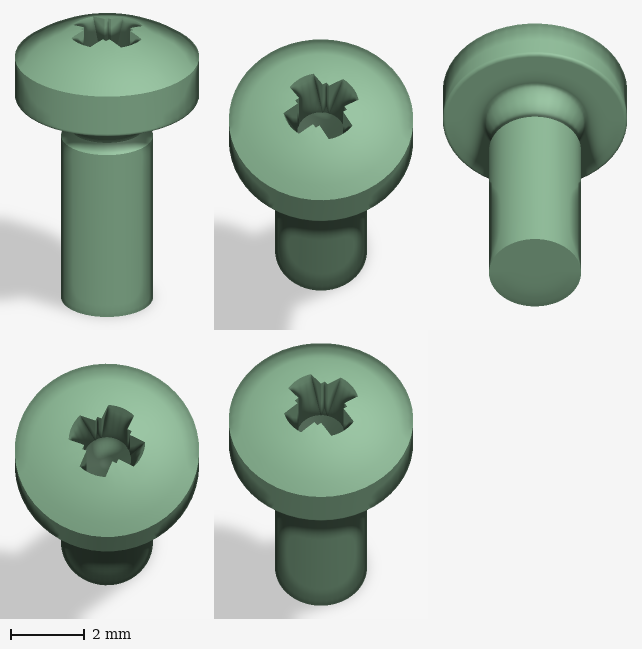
import cadquery as cq
import math

head_radius = 2.4995
dome_radius = 4.0
seat_z = 6.0
apex_z = 8.1
edge_fillet = 0.1

shank_radius = 1.25
shank_top_z = 4.86
waist_radius = 1.0
waist_height = 0.065
neck_top_radius = 1.38

wing_width = 0.765
wing_mouth_radius = 1.04
wing_floor_radius = 0.65
recess_core_width = 1.015
recess_floor_z = 6.48
floor_cone_depth = 0.35


def dome_height(radius):
    """Height of the spherical dome at a distance from the axis."""
    return apex_z - dome_radius + math.sqrt(dome_radius**2 - radius**2)


def make_body():
    """Revolve the half profile of the head, neck and shank."""
    waist_bottom_z = shank_top_z + shank_radius - waist_radius
    mid_radius = head_radius / 2
    waist_top_z = waist_bottom_z + waist_height
    body = (
        cq.Workplane("XZ")
        .lineTo(shank_radius, 0)
        .lineTo(shank_radius, shank_top_z)
        .lineTo(waist_radius, waist_bottom_z)
        .lineTo(waist_radius, waist_top_z)
        .lineTo(neck_top_radius, seat_z)
        .lineTo(head_radius, seat_z)
        .lineTo(head_radius, dome_height(head_radius))
        .threePointArc((mid_radius, dome_height(mid_radius)), (0, apex_z))
        .close()
        .revolve(360, (0, 0, 0), (0, 1, 0))
    )
    half_band = edge_fillet / 4
    for edge_z in (seat_z, waist_top_z):
        band = cq.selectors.BoxSelector(
            (-head_radius, -head_radius, edge_z - half_band),
            (head_radius, head_radius, edge_z + half_band),
        )
        body = body.edges("%CIRCLE").edges(band).fillet(edge_fillet)
    return body


def make_recess():
    """Tapered cross with a square core and a conical floor."""
    mouth_z = dome_height(wing_mouth_radius)
    taper = (wing_mouth_radius - wing_floor_radius) / (mouth_z - recess_floor_z)
    top_radius = wing_floor_radius + taper * (apex_z - recess_floor_z)
    depth = apex_z - recess_floor_z
    envelope = (
        cq.Workplane("XZ")
        .moveTo(0, recess_floor_z)
        .lineTo(wing_floor_radius, recess_floor_z)
        .lineTo(top_radius, apex_z)
        .lineTo(0, apex_z)
        .close()
        .revolve(360, (0, 0, 0), (0, 1, 0))
    )
    floor_plane = cq.Workplane("XY").workplane(offset=recess_floor_z)
    cross = floor_plane.rect(recess_core_width, recess_core_width).extrude(depth)
    wing_length = 2 * top_radius
    cross = cross.union(floor_plane.rect(wing_length, wing_width).extrude(depth))
    cross = cross.union(floor_plane.rect(wing_width, wing_length).extrude(depth))
    floor_cone = (
        cq.Workplane("XZ")
        .moveTo(0, recess_floor_z)
        .lineTo(wing_floor_radius, recess_floor_z)
        .lineTo(0, recess_floor_z - floor_cone_depth)
        .close()
        .revolve(360, (0, 0, 0), (0, 1, 0))
    )
    return cross.intersect(envelope).union(floor_cone)


result = make_body().cut(make_recess())